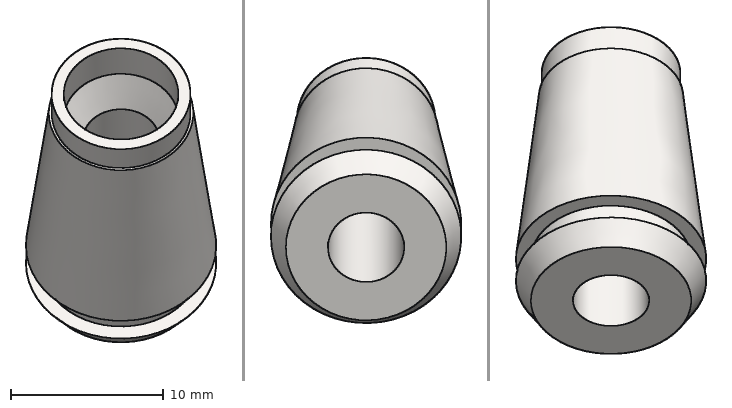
import cadquery as cq
import math

total_height = 20.0
max_radius = 12.5 / 2

groove_radius = 5.25
base_radius = groove_radius
flange_height = 1.72
groove_height = 1.92
neck_height = 2.05
neck_radius = 4.55
taper_top_radius = 4.75
groove_top = flange_height + groove_height
taper_top = total_height - neck_height

bore_radius = 2.5
mouth_radius = 3.75
mouth_depth = 2.75
seat_half_angle = 30.0
mouth_floor = total_height - mouth_depth
seat_height = (mouth_radius - bore_radius) / math.tan(math.radians(seat_half_angle))
seat_bottom = mouth_floor - seat_height

section = (
    cq.Workplane("XZ")
    .moveTo(bore_radius, 0)
    .lineTo(base_radius, 0)
    .lineTo(max_radius, flange_height)
    .lineTo(groove_radius, flange_height)
    .lineTo(groove_radius, groove_top)
    .lineTo(max_radius, groove_top)
    .lineTo(taper_top_radius, taper_top)
    .lineTo(neck_radius, taper_top)
    .lineTo(neck_radius, total_height)
    .lineTo(mouth_radius, total_height)
    .lineTo(mouth_radius, mouth_floor)
    .lineTo(bore_radius, seat_bottom)
    .close()
)

result = section.revolve(360, (0, 0, 0), (0, 1, 0))